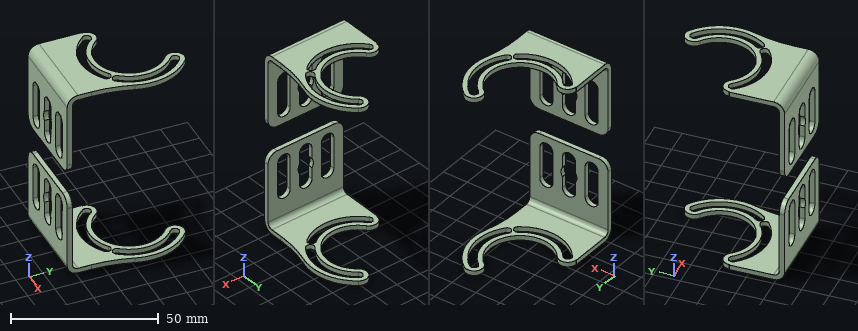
import cadquery as cq
import math

overall_height = 74.0
thickness = 2.0
bend_outer_radius = 4.0
bend_inner_radius = bend_outer_radius - thickness
plate_width = 32.85
flange_height = 32.0
flange_corner_radius = 4.0

arm_center_x = plate_width / 2
arm_center_y = 30.05
arm_mid_radius = 16.1
arm_half_width = 3.55
arm_slot_half_width = 1.55
arm_tip_angle = 51.8
slot_sweep = 90.0
blend_radius = 50.0

flange_slot_pitch = 9.5
flange_slot_width = 5.3
flange_slot_length = 18.1
flange_slot_depth = 20.0
center_hole_diameter = 6.5

arm_outer_radius = arm_mid_radius + arm_half_width
flange_slot_z = overall_height - flange_slot_depth
plate_bottom = overall_height - thickness


def arm_point(radius, angle):
    """Point on a circle around the arm center, angle in degrees."""
    turn = math.radians(angle)
    return (arm_center_x + radius * math.cos(turn), arm_center_y + radius * math.sin(turn))


def curved_bar(half_width, start, end):
    """Round-ended bar along the arm's middle circle, one sheet thick."""
    inner = arm_mid_radius - half_width
    outer = arm_mid_radius + half_width
    middle = (start + end) / 2
    end_tangent = math.radians(end + 90)
    start_tangent = math.radians(start - 90)
    end_x, end_y = arm_point(arm_mid_radius, end)
    start_x, start_y = arm_point(arm_mid_radius, start)
    end_tip = (end_x + half_width * math.cos(end_tangent), end_y + half_width * math.sin(end_tangent))
    start_tip = (
        start_x + half_width * math.cos(start_tangent),
        start_y + half_width * math.sin(start_tangent),
    )
    return (
        cq.Workplane("XY", origin=(0, 0, plate_bottom))
        .moveTo(*arm_point(outer, start))
        .threePointArc(arm_point(outer, middle), arm_point(outer, end))
        .threePointArc(end_tip, arm_point(inner, end))
        .threePointArc(arm_point(inner, middle), arm_point(inner, start))
        .threePointArc(start_tip, arm_point(outer, start))
        .close()
        .extrude(thickness)
    )


def bent_sheet():
    """L-shaped sheet: upright flange, bend and the start of the horizontal plate."""
    flange_bottom = overall_height - flange_height
    sheet = (
        cq.Workplane("YZ")
        .moveTo(0, flange_bottom)
        .lineTo(0, overall_height - bend_outer_radius)
        .radiusArc((bend_outer_radius, overall_height), bend_outer_radius)
        .lineTo(bend_outer_radius, plate_bottom)
        .radiusArc((thickness, overall_height - bend_outer_radius), -bend_inner_radius)
        .lineTo(thickness, flange_bottom)
        .close()
        .extrude(plate_width)
    )
    return sheet.faces("<Z").edges("|Y").fillet(flange_corner_radius)


def plate_web():
    """Plate between bend and arm, with a concave blend into the arm's outer edge."""
    blend_center_x = plate_width + blend_radius
    center_distance = arm_outer_radius + blend_radius
    blend_drop = math.sqrt(center_distance**2 - (blend_center_x - arm_center_x) ** 2)
    blend_start = (plate_width, arm_center_y - blend_drop)
    tangent_angle = -math.degrees(math.asin(blend_drop / center_distance))
    web = (
        cq.Workplane("XY", origin=(0, 0, plate_bottom))
        .moveTo(0, bend_outer_radius)
        .lineTo(plate_width, bend_outer_radius)
        .lineTo(*blend_start)
        .radiusArc(arm_point(arm_outer_radius, tangent_angle), blend_radius)
        .lineTo(arm_center_x, arm_center_y)
        .lineTo(*arm_point(arm_mid_radius, 270 - arm_tip_angle))
        .lineTo(0, arm_point(arm_mid_radius, 270 - arm_tip_angle)[1])
        .close()
        .extrude(thickness)
    )
    bore = (
        cq.Workplane("XY", origin=(arm_center_x, arm_center_y, plate_bottom))
        .circle(arm_mid_radius - arm_half_width)
        .extrude(thickness)
    )
    return web.cut(bore)


def flange_openings():
    """Three upright slots, the middle one widened by a round hole."""
    flange_plane = cq.Workplane("XZ", origin=(arm_center_x, 0, flange_slot_z))
    slots = (
        flange_plane.pushPoints([(step * flange_slot_pitch, 0) for step in (-1, 0, 1)])
        .slot2D(flange_slot_length, flange_slot_width, 90)
        .extrude(-thickness)
    )
    hole = flange_plane.circle(center_hole_diameter / 2).extrude(-thickness)
    return slots.union(hole)


def upper_bracket():
    arm_start = -90 - arm_tip_angle
    arm = curved_bar(arm_half_width, arm_start, arm_tip_angle)
    body = bent_sheet().union(plate_web()).union(arm).cut(flange_openings())
    for slot_start in (arm_start, arm_tip_angle - slot_sweep):
        body = body.cut(curved_bar(arm_slot_half_width, slot_start, slot_start + slot_sweep))
    return body


brackets = []
for flipped in (False, True):
    bracket = upper_bracket()
    if flipped:
        bracket = bracket.mirror("XY", (0, 0, overall_height / 2))
    brackets.append(bracket.val())

result = cq.Compound.makeCompound(brackets)